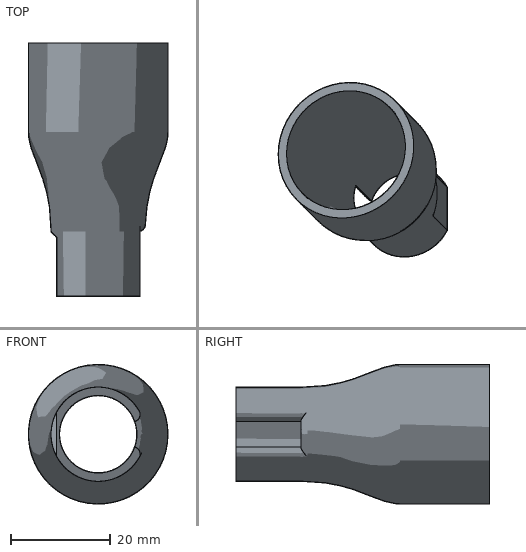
import cadquery as cq

length = 51.0
socket_radius = 14.05
socket_length = 18.0
neck_radius = 9.5
neck_length = 13.0
wall = 1.75

flat_depth = 1.1

slot_width = 5.0
slot_overrun = 0.05
slot_length = neck_length + slot_overrun
slot_round = 1.5

neck_handle = 0.56
socket_handle = 0.25

bore_radius = neck_radius - wall
socket_start = length - socket_length
transition_length = socket_start - neck_length


def turned_solid(neck_r, socket_r):
    """Solid of revolution about Y: neck, S-shaped transition and socket."""
    s_curve = [
        (neck_r, neck_length),
        (neck_r, neck_length + neck_handle * transition_length),
        (socket_r, socket_start - socket_handle * transition_length),
        (socket_r, socket_start),
    ]
    return (
        cq.Workplane("XY")
        .lineTo(neck_r, 0)
        .lineTo(neck_r, neck_length)
        .bezier(s_curve)
        .lineTo(socket_r, length)
        .lineTo(0, length)
        .close()
        .revolve(360, (0, 0, 0), (0, 1, 0))
    )


def cut_rounded_slot(blank):
    """Notch the +X side of the solid blank and round the outer rim of the notch."""
    slot_floor = bore_radius / 2
    slot = cq.Workplane("XY").box(
        neck_radius, slot_length, slot_width, centered=(False, False, True)
    )
    notched = blank.cut(slot.translate((slot_floor, 0, 0)))
    rim_region = cq.selectors.BoxSelector(
        (bore_radius, 0, -slot_width), (socket_radius, slot_length + slot_overrun, slot_width)
    )
    rim = notched.edges(rim_region)
    return notched.newObject(rim.vals()).fillet(slot_round)


def flat_cutter():
    """Prism that removes the flat and the ramp rising from its inner end."""
    flat_x = -(neck_radius - flat_depth)
    return (
        cq.Workplane("XY")
        .moveTo(flat_x, 0)
        .lineTo(flat_x, neck_length - flat_depth)
        .lineTo(-neck_radius, neck_length)
        .lineTo(-socket_radius, neck_length)
        .lineTo(-socket_radius, 0)
        .close()
        .extrude(neck_radius, both=True)
    )


blank = turned_solid(neck_radius, socket_radius)
bore = turned_solid(bore_radius, socket_radius - wall)
result = cut_rounded_slot(blank).cut(flat_cutter()).cut(bore)